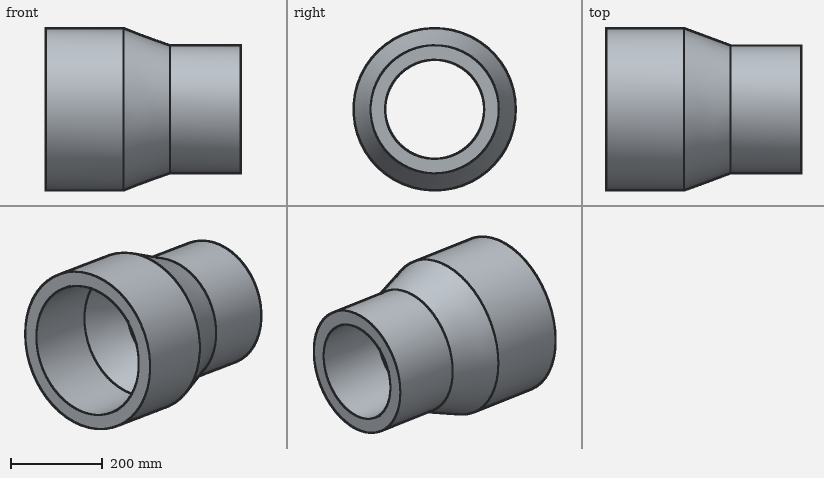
import cadquery as cq
import math

total_length = 426.0
large_length = 170.0
small_length = 155.0
large_outer_diameter = 355.0
large_bore_diameter = 290.5
small_outer_diameter = 280.0
small_bore_diameter = 215.5

taper_start = large_length
taper_end = total_length - small_length

wall = (large_outer_diameter - large_bore_diameter) / 2
taper_drop = (large_outer_diameter - small_outer_diameter) / 2
taper_angle = math.atan2(taper_drop, taper_end - taper_start)
bore_shift = wall * math.tan(taper_angle / 2)


def reducer_body(large_diameter, small_diameter, cone_start, cone_end):
    """Solid of revolution: large cylinder, cone, small cylinder."""
    large_radius = large_diameter / 2
    small_radius = small_diameter / 2
    return (
        cq.Workplane("XY")
        .moveTo(0, 0)
        .lineTo(0, large_radius)
        .lineTo(cone_start, large_radius)
        .lineTo(cone_end, small_radius)
        .lineTo(total_length, small_radius)
        .lineTo(total_length, 0)
        .close()
        .revolve(360, (0, 0, 0), (1, 0, 0))
    )


outside = reducer_body(large_outer_diameter, small_outer_diameter, taper_start, taper_end)
bore = reducer_body(
    large_bore_diameter,
    small_bore_diameter,
    taper_start - bore_shift,
    taper_end - bore_shift,
)
result = outside.cut(bore)